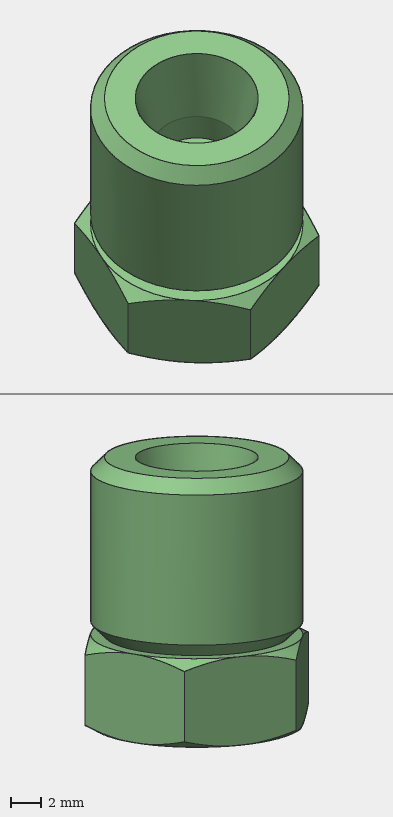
import cadquery as cq
import math

across_flats = 14.0
head_height = 6.0
head_chamfer_angle = 30.0
hex_sides = 6
half_side_angle = 180.0 / hex_sides
across_corners = across_flats / math.cos(math.radians(half_side_angle))

thread_diameter = 14.0
total_height = 18.0
thread_depth = 0.92

tube_diameter = 6.0
cone_mouth_diameter = 8.1
cone_angle = 24.0
socket_depth = 7.0


def revolved(profile):
    """Turn a closed (radius, z) profile about the Z axis."""
    return cq.Workplane("XZ").polyline(profile).close().revolve(360, (0, 0), (0, 1))


def make_head():
    """Hexagonal prism with its corners chamfered at both ends."""
    flat_radius = across_flats / 2
    corner_radius = across_corners / 2
    corner_drop = (corner_radius - flat_radius) * math.tan(math.radians(head_chamfer_angle))
    prism = (
        cq.Workplane("XY")
        .polygon(hex_sides, across_corners)
        .extrude(head_height)
        .rotate((0, 0, 0), (0, 0, 1), half_side_angle)
    )
    chamfer_envelope = revolved([
        (0, 0),
        (flat_radius, 0),
        (corner_radius, corner_drop),
        (corner_radius, head_height - corner_drop),
        (flat_radius, head_height),
        (0, head_height),
    ])
    return prism.intersect(chamfer_envelope)


def make_shank():
    """Cylinder above the head, tapering to the thread root at both ends."""
    thread_radius = thread_diameter / 2
    root_radius = thread_radius - thread_depth
    return revolved([
        (0, head_height),
        (root_radius, head_height),
        (thread_radius, head_height + thread_depth),
        (thread_radius, total_height - thread_depth),
        (root_radius, total_height),
        (0, total_height),
    ])


def make_socket():
    """Sealing cone and tube bore, open at the top of the shank."""
    mouth_radius = cone_mouth_diameter / 2
    bore_radius = tube_diameter / 2
    cone_depth = (mouth_radius - bore_radius) / math.tan(math.radians(cone_angle / 2))
    return revolved([
        (0, total_height),
        (mouth_radius, total_height),
        (bore_radius, total_height - cone_depth),
        (bore_radius, total_height - socket_depth),
        (0, total_height - socket_depth),
    ])


result = make_head().union(make_shank()).cut(make_socket())